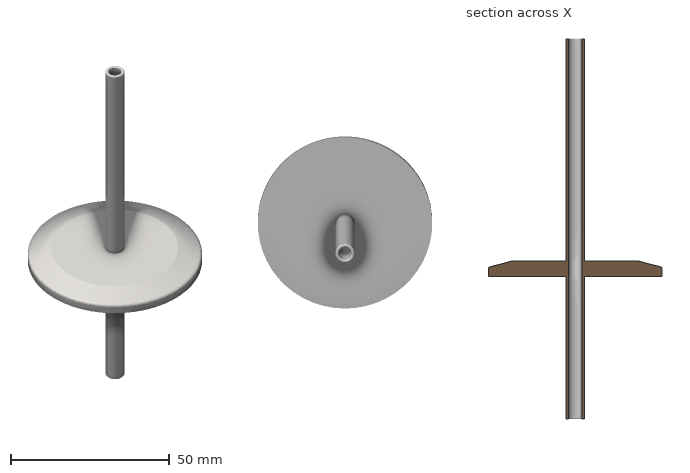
import cadquery as cq

tube_length = 120.0
tube_radius = 3.0
bore_radius = 2.0
tube_end_chamfer = 0.25

disc_radius = 27.5
disc_flat_radius = 20.0
disc_bottom = 45.0
disc_height = 5.0
disc_rim_height = 3.0
disc_edge_fillet = 1.0


def make_tube():
    """Round tube with the outer and bore edges of both ends chamfered."""
    tube = cq.Workplane("XY").circle(tube_radius).circle(bore_radius).extrude(tube_length)
    return tube.faces("<Z or >Z").edges().chamfer(tube_end_chamfer)


def make_disc():
    """Disc with a straight rim, a rounded shoulder and a shallow cone up to a flat top."""
    rim_top = disc_bottom + disc_rim_height
    disc_top = disc_bottom + disc_height
    disc = (
        cq.Workplane("XZ")
        .moveTo(0, disc_bottom)
        .lineTo(disc_radius, disc_bottom)
        .lineTo(disc_radius, rim_top)
        .lineTo(disc_flat_radius, disc_top)
        .lineTo(0, disc_top)
        .close()
        .revolve(360, (0, 0, 0), (0, 1, 0))
    )
    shoulder = cq.selectors.BoxSelector(
        (-disc_radius, -disc_radius, rim_top - disc_edge_fillet),
        (disc_radius, disc_radius, rim_top + disc_edge_fillet),
    )
    return disc.edges("%CIRCLE").edges(shoulder).fillet(disc_edge_fillet)


def make_bore():
    """Cutter that keeps the bore open where it passes through the disc."""
    return cq.Workplane("XY").workplane(offset=disc_bottom).circle(bore_radius).extrude(disc_height)


result = make_disc().cut(make_bore()).union(make_tube())